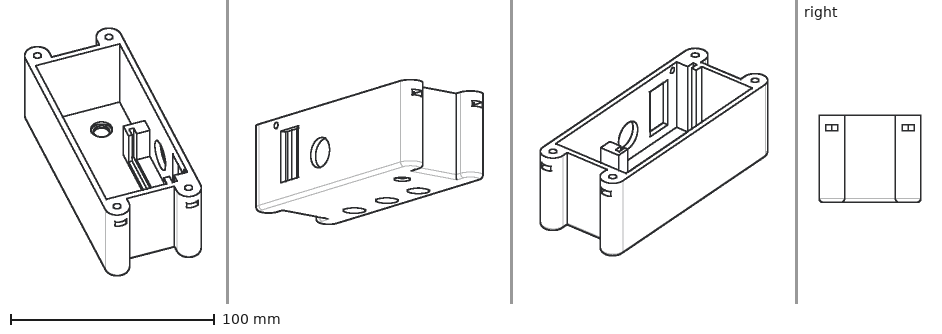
import cadquery as cq
import math

length = 125.2
width = 50.0
height = 43.0
wall = 3.0
floor = 3.0
bottom_round = 2.0
cavity_length = 99.9
cavity_width = width - 2 * wall
body_length = cavity_length + 2 * wall
cavity_right = cavity_length / 2
cavity_back = cavity_width / 2

ear_radius = 6.3
ear_x = length / 2 - ear_radius
ear_y = width / 2 - ear_radius
screw_diameter = 3.8
nut_flats = 6.0
nut_bottom = 35.3
nut_thickness = 2.8
screw_depth = height - nut_bottom

post_left = 45.7
post_front = 9.6
holder_left = -14.4
holder_front = 10.8
block_length = 7.3
block_top = 22.9
rail_top = 5
slot_left = -11.4
slot_front = 12.6
slot_width = 2.4

control_diameter = 11.0
control_xs = (-21.2, 3.9, 29.8)
control_y = -13.9
jack_x = -35.1
jack_y = 7.0
jack_diameter = 8.0
jack_recess_diameter = 10.5
jack_recess_depth = floor / 2

round_x = 7.4
round_z = 19.0
round_diameter = 15
window_x = 31.8
window_z = 22.9
window_length = 14.0
window_height = 26.0
pin_x = 42.5
pin_z = 39.6
pin_diameter = 3.0


def box(x_range, y_range, z_range):
    """Box spanning the given (start, end) pair on each axis."""
    sizes = [end - start for start, end in (x_range, y_range, z_range)]
    corner = (x_range[0], y_range[0], z_range[0])
    return cq.Workplane("XY").box(*sizes, centered=False).translate(corner)


def upright_cylinder(x, y, diameter, bottom, depth):
    return cq.Workplane("XY", origin=(x, y, bottom)).circle(diameter / 2).extrude(depth)


def shell():
    """Outer body with rounded ear bars at both long sides, hollowed from above."""
    body = cq.Workplane("XY").rect(body_length, width).extrude(height)
    for side in (-1, 1):
        ears = (
            cq.Workplane("XY")
            .center(0, side * ear_y)
            .slot2D(length, 2 * ear_radius)
            .extrude(height)
        )
        body = body.union(ears)
    body = body.faces("<Z").edges().fillet(bottom_round)
    cavity = box((-cavity_right, cavity_right), (-cavity_back, cavity_back), (floor, height))
    return body.cut(cavity)


def board_holder():
    """Supports for an upright board, with one slot running through all of them."""
    holder_depth = (holder_front, cavity_back)
    post = box((post_left, cavity_right), (post_front, cavity_back), (floor, height))
    block = box((holder_left, holder_left + block_length), holder_depth, (floor, block_top))
    rail = box((holder_left, post_left), holder_depth, (floor, rail_top))
    slot = box((slot_left, cavity_right), (slot_front, slot_front + slot_width), (floor, height))
    return post.union(block).union(rail).cut(slot)


def ear_cutter(side_x, side_y):
    """Screw hole and hexagonal nut pocket that opens through the ear's end."""
    x = side_x * ear_x
    y = side_y * ear_y
    screw = upright_cylinder(x, y, screw_diameter, nut_bottom, screw_depth)
    nut = (
        cq.Workplane("XY", origin=(x, y, nut_bottom))
        .polygon(6, nut_flats / math.cos(math.pi / 6))
        .extrude(nut_thickness)
    )
    entry = (
        cq.Workplane("XY", origin=(x + side_x * ear_radius / 2, y, nut_bottom))
        .rect(ear_radius, nut_flats)
        .extrude(nut_thickness)
    )
    return screw.union(nut).union(entry)


def cut_floor_openings(part):
    for x in control_xs:
        part = part.cut(upright_cylinder(x, control_y, control_diameter, 0, floor))
    part = part.cut(upright_cylinder(jack_x, jack_y, jack_diameter, 0, floor))
    recess_bottom = floor - jack_recess_depth
    return part.cut(
        upright_cylinder(jack_x, jack_y, jack_recess_diameter, recess_bottom, jack_recess_depth)
    )


def cut_back_openings(part):
    inner_face = cq.Workplane("XZ", origin=(0, cavity_back, 0))
    for x, z, diameter in (
        (round_x, round_z, round_diameter),
        (pin_x, pin_z, pin_diameter),
    ):
        part = part.cut(inner_face.center(x, z).circle(diameter / 2).extrude(-wall))
    window = inner_face.center(window_x, window_z).rect(window_length, window_height)
    return part.cut(window.extrude(-wall))


result = shell().union(board_holder())
for side_x in (-1, 1):
    for side_y in (-1, 1):
        result = result.cut(ear_cutter(side_x, side_y))
result = cut_floor_openings(result)
result = cut_back_openings(result)